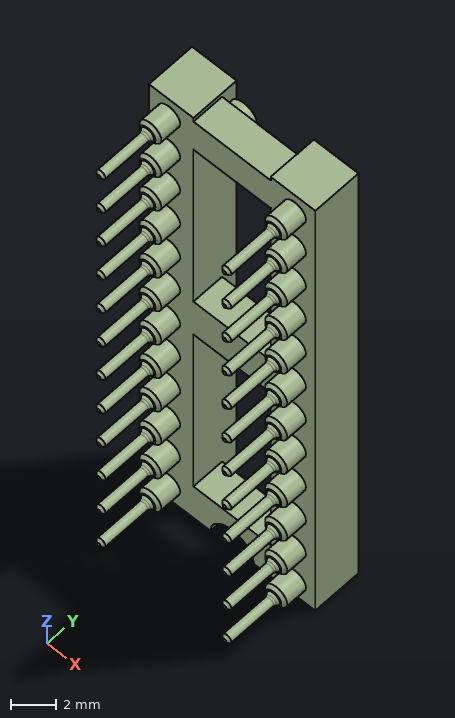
import cadquery as cq

LENGTH = 30.4
WIDTH = 10.1
RAIL_WIDTH = 2.7
RAIL_DEPTH = 2.8

BAR_DEPTH = 1.85
TOP_BAR_RECESS = 0.27
END_MARGIN = 2.4
WINDOW_HEIGHT = 11.55
NOTCH_RADIUS = 1.3

BOSS_RADIUS = 0.8
BOSS_HEIGHT = 0.65
BOSS_DROP = 1.5
BOSS_OVERLAP = 0.05

PINS_PER_ROW = 12
ROW_SPACING = 7.63
END_PIN_INSET = 1.22
PIN_REACH = 4.55
COLLAR_RADIUS = 0.67
COLLAR_LENGTH = 1.22
COLLAR_CHAMFER = 0.18
NECK_BASE_RADIUS = 0.4
NECK_TIP_RADIUS = 0.3
NECK_LENGTH = 0.15
SHANK_TAPER_LENGTH = 0.12
SHANK_RADIUS = 0.27
TIP_RADIUS = 0.12
TIP_LENGTH = 0.15

GAP_WIDTH = WIDTH - 2 * RAIL_WIDTH
RAIL_INNER_X = GAP_WIDTH / 2
PIN_PITCH = (LENGTH - 2 * END_PIN_INSET) / (PINS_PER_ROW - 1)
TOP_BAR_TOP = LENGTH - TOP_BAR_RECESS
TOP_BAR_BOTTOM = LENGTH - END_MARGIN


def box_between(x_range, y_range, z_range):
    """Box spanning the given (low, high) range on each axis."""
    size = [high - low for low, high in (x_range, y_range, z_range)]
    corner = (x_range[0], y_range[0], z_range[0])
    return cq.Workplane("XY").box(*size, centered=False).translate(corner)


def make_rail(side):
    """Long rail on the -X (side = -1) or +X (side = 1) edge."""
    x_range = sorted((side * RAIL_INNER_X, side * WIDTH / 2))
    return box_between(x_range, (0, RAIL_DEPTH), (0, LENGTH))


def make_bar(bottom, top):
    """Cross bar filling the gap between the rails, flush with their pin side."""
    return box_between((-RAIL_INNER_X, RAIL_INNER_X), (0, BAR_DEPTH), (bottom, top))


def make_frame():
    """Two rails, three cross bars and the half-round notch in the bottom bar."""
    middle_bar_bottom = END_MARGIN + WINDOW_HEIGHT
    middle_bar_top = TOP_BAR_BOTTOM - WINDOW_HEIGHT
    frame = make_rail(-1).union(make_rail(1))
    frame = frame.union(make_bar(0, END_MARGIN))
    frame = frame.union(make_bar(middle_bar_bottom, middle_bar_top))
    frame = frame.union(make_bar(TOP_BAR_BOTTOM, TOP_BAR_TOP))
    notch = cq.Workplane("XZ").circle(NOTCH_RADIUS).extrude(-BAR_DEPTH)
    return frame.cut(notch)


def make_boss():
    """Locating boss on the back of the top bar, running slightly into the -X rail."""
    center_x = -RAIL_INNER_X + BOSS_RADIUS - BOSS_OVERLAP
    center_z = LENGTH - BOSS_DROP
    boss = cq.Workplane("XZ").circle(BOSS_RADIUS).extrude(-(BAR_DEPTH + BOSS_HEIGHT))
    return boss.translate((center_x, 0, center_z))


def make_pin():
    """Turned pin about the Y axis, with its collar starting at Y = 0."""
    chamfer_end = COLLAR_LENGTH + COLLAR_CHAMFER
    neck_end = chamfer_end + NECK_LENGTH
    half_profile = [
        (0, 0),
        (COLLAR_RADIUS, 0),
        (COLLAR_RADIUS, -COLLAR_LENGTH),
        (COLLAR_RADIUS - COLLAR_CHAMFER, -chamfer_end),
        (NECK_BASE_RADIUS, -chamfer_end),
        (NECK_TIP_RADIUS, -neck_end),
        (SHANK_RADIUS, -neck_end - SHANK_TAPER_LENGTH),
        (SHANK_RADIUS, -PIN_REACH + TIP_LENGTH),
        (TIP_RADIUS, -PIN_REACH),
        (0, -PIN_REACH),
    ]
    return cq.Workplane("XY").polyline(half_profile).close().revolve(360, (0, 0, 0), (0, 1, 0))


result = make_frame().union(make_boss())
pin = make_pin()
for row_x in (-ROW_SPACING / 2, ROW_SPACING / 2):
    for index in range(PINS_PER_ROW):
        pin_z = END_PIN_INSET + index * PIN_PITCH
        result = result.union(pin.translate((row_x, 0, pin_z)))